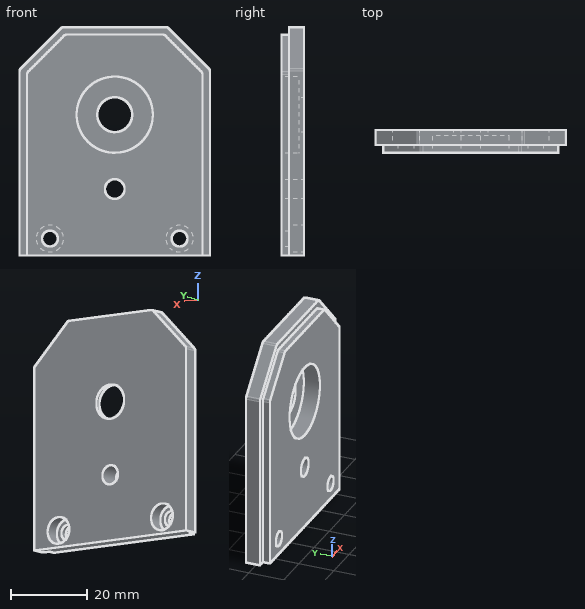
import cadquery as cq
import math

plate_width = 50.0
plate_height = 60.0
plate_thickness = 4.0
corner_radius = 1.0

pad_thickness = 2.0
pad_inset = 2.0
pad_width = plate_width - 2 * pad_inset
pad_height = plate_height - pad_inset
pad_corner_cut = 10.0

corner_cut = pad_corner_cut + pad_inset * (2 - math.sqrt(2))

total_thickness = plate_thickness + pad_thickness

seat_diameter = 20.0
seat_depth = 4.6
seat_hole_diameter = 9.1
seat_height = 37.0

lower_hole_diameter = 5.1
lower_hole_height = 17.5

screw_hole_diameter = 4.1
screw_head_diameter = 7.1
screw_head_depth = 4.0
screw_hole_spacing = 34.0
screw_hole_height = 4.5


def cut_corner_slab(width, height, corner, back_y, thickness):
    """Upright slab with softened 45 degree top corners, reaching from back_y toward -Y."""
    half = width / 2
    slab = (
        cq.Workplane("XZ", origin=(0, back_y, 0))
        .moveTo(-half, 0)
        .lineTo(half, 0)
        .lineTo(half, height - corner)
        .lineTo(half - corner, height)
        .lineTo(corner - half, height)
        .lineTo(-half, height - corner)
        .close()
        .extrude(thickness)
    )
    upper_half = cq.selectors.BoxSelector(
        (-width, back_y - thickness, height / 2),
        (width, back_y, 2 * height),
    )
    return slab.edges("|Y").edges(upper_half).fillet(corner_radius)


def bore(x, z, diameter, back_y, depth):
    """Cylinder along Y, reaching from back_y toward -Y."""
    return cq.Workplane("XZ", origin=(x, back_y, z)).circle(diameter / 2).extrude(depth)


def through_bore(x, z, diameter):
    return bore(x, z, diameter, total_thickness, total_thickness)


plate = cut_corner_slab(plate_width, plate_height, corner_cut, total_thickness, plate_thickness)
pad = cut_corner_slab(pad_width, pad_height, pad_corner_cut, pad_thickness, pad_thickness)
result = plate.union(pad)

result = result.cut(bore(0, seat_height, seat_diameter, seat_depth, seat_depth))
result = result.cut(through_bore(0, seat_height, seat_hole_diameter))

result = result.cut(through_bore(0, lower_hole_height, lower_hole_diameter))

for side in (-1, 1):
    screw_x = side * screw_hole_spacing / 2
    result = result.cut(through_bore(screw_x, screw_hole_height, screw_hole_diameter))
    result = result.cut(
        bore(screw_x, screw_hole_height, screw_head_diameter, total_thickness, screw_head_depth)
    )